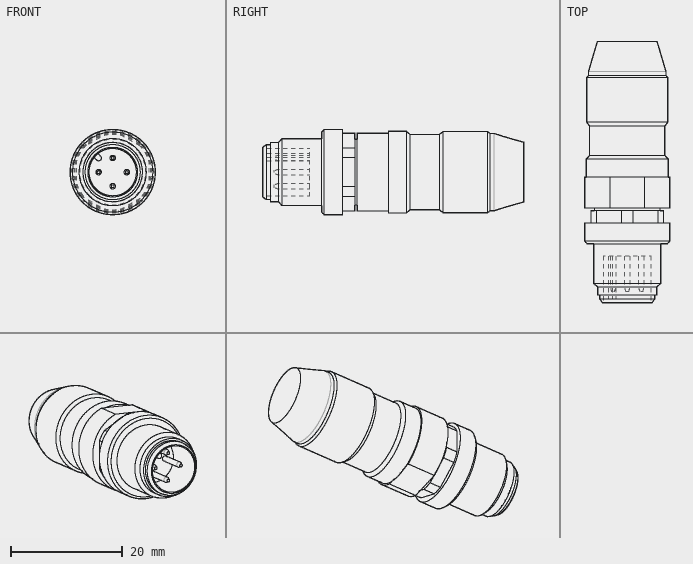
import cadquery as cq
import math

LENGTH = 46.75

TIP_RIM_DIA = 8.9
TIP_DIA = 9.85
STEP_DIA = 10.6
BARREL_DIA = 12.0
TIP_CHAMFER_END = 0.7
TIP_END = 1.4
STEP_END = 2.85
BARREL_START = 3.45

COLLAR_DIA = 15.3
COLLAR_CHAMFER = 0.45
COLLAR_START = 10.55
COLLAR_END = 14.3

NUT_CORNER_DIA = 14.0
NUT_ACROSS_FLATS = 13.0
NUT_END = 16.5
NECK_DIA = 11.8

BODY_START = 16.92
BODY_END = 22.5
BODY_ACROSS_FLATS = 14.0

BAND_DIA = 14.7
BAND_END = 25.7
BAND_CHAMFER_END = 26.35
GRIP_DIA = 13.5
SLEEVE_START = 31.6
SLEEVE_CHAMFER_END = 32.3
SLEEVE_DIA = 14.55
SLEEVE_END = 40.25
CAP_DIA = 13.9
CAP_START = 40.65
CAP_TAPER_START = 41.37
CAP_END_DIA = 10.7

SOCKET_DIA = 8.45
SOCKET_DEPTH = 8.4
PIN_COUNT = 4
PIN_CIRCLE_RADIUS = 2.52
PIN_DIA = 1.0
PIN_TIP_DIA = 0.5
PIN_TIP_RECESS = 2.05
PIN_TAPER_LENGTH = 0.75
KEY_ANGLE = 135.0
KEY_WIDTH = 1.0
KEY_NOSE_RADIUS = 3.55
KEY_RECESS = 0.7


def plane_at(y):
    """Plane across the axis at y, with its normal along +Y and local X along +X."""
    return cq.Plane(origin=(0, y, 0), xDir=(1, 0, 0), normal=(0, 1, 0))


def cylinder(diameter, start, end):
    return cq.Workplane(plane_at(start)).circle(diameter / 2).extrude(end - start)


def turned_shell():
    """Revolved outline, given as (diameter, Y) from the plug face to the cable end."""
    outline = [
        (0, 0),
        (TIP_RIM_DIA, 0),
        (TIP_DIA, TIP_CHAMFER_END),
        (TIP_DIA, TIP_END),
        (STEP_DIA, TIP_END),
        (STEP_DIA, STEP_END),
        (BARREL_DIA, BARREL_START),
        (BARREL_DIA, COLLAR_START),
        (COLLAR_DIA - 2 * COLLAR_CHAMFER, COLLAR_START),
        (COLLAR_DIA, COLLAR_START + COLLAR_CHAMFER),
        (COLLAR_DIA, COLLAR_END),
        (NECK_DIA, COLLAR_END),
        (NECK_DIA, BODY_END),
        (BAND_DIA, BODY_END),
        (BAND_DIA, BAND_END),
        (GRIP_DIA, BAND_CHAMFER_END),
        (GRIP_DIA, SLEEVE_START),
        (SLEEVE_DIA, SLEEVE_CHAMFER_END),
        (SLEEVE_DIA, SLEEVE_END),
        (CAP_DIA, CAP_START),
        (CAP_DIA, CAP_TAPER_START),
        (CAP_END_DIA, LENGTH),
        (0, LENGTH),
    ]
    points = [(diameter / 2, y) for diameter, y in outline]
    return cq.Workplane("XY").polyline(points).close().revolve(360, (0, 0), (0, 1))


def hex_nut():
    """Hexagon with flats facing -X and +X, its corners turned down to a cylinder."""
    corner_to_corner = NUT_ACROSS_FLATS / math.cos(math.radians(30))
    length = NUT_END - COLLAR_END
    hexagon = (
        cq.Workplane(plane_at(COLLAR_END))
        .transformed(rotate=(0, 0, 30))
        .polygon(6, corner_to_corner)
        .extrude(length)
    )
    return hexagon.intersect(cylinder(NUT_CORNER_DIA, COLLAR_END, NUT_END))


def flatted_body():
    """Cylinder with wrench flats on its top and bottom."""
    length = BODY_END - BODY_START
    slab = cq.Workplane(plane_at(BODY_START)).rect(COLLAR_DIA, BODY_ACROSS_FLATS).extrude(length)
    return cylinder(COLLAR_DIA, BODY_START, BODY_END).intersect(slab)


def contact_pin(angle):
    """Pin with a tapered tip, standing on the socket floor."""
    taper_end = PIN_TIP_RECESS + PIN_TAPER_LENGTH
    pin = (
        cq.Workplane("XY")
        .moveTo(0, PIN_TIP_RECESS)
        .lineTo(PIN_TIP_DIA / 2, PIN_TIP_RECESS)
        .lineTo(PIN_DIA / 2, taper_end)
        .lineTo(PIN_DIA / 2, SOCKET_DEPTH)
        .lineTo(0, SOCKET_DEPTH)
        .close()
        .revolve(360, (0, 0), (0, 1))
    )
    return pin.translate((PIN_CIRCLE_RADIUS, 0, 0)).rotate((0, 0, 0), (0, 1, 0), angle)


def polarising_key():
    """Round-nosed rib on the upper -X side of the socket wall."""
    wall_radius = (SOCKET_DIA + TIP_RIM_DIA) / 4
    length = SOCKET_DEPTH - KEY_RECESS
    nose = cq.Workplane(plane_at(KEY_RECESS)).center(KEY_NOSE_RADIUS, 0).circle(KEY_WIDTH / 2).extrude(length)
    root_length = wall_radius - KEY_NOSE_RADIUS
    root = (
        cq.Workplane(plane_at(KEY_RECESS))
        .center(KEY_NOSE_RADIUS + root_length / 2, 0)
        .rect(root_length, KEY_WIDTH)
        .extrude(length)
    )
    return nose.union(root).rotate((0, 0, 0), (0, 1, 0), -KEY_ANGLE)


result = turned_shell().union(hex_nut()).union(flatted_body())
result = result.cut(cylinder(SOCKET_DIA, 0, SOCKET_DEPTH))
for index in range(PIN_COUNT):
    result = result.union(contact_pin(index * 360 / PIN_COUNT))
result = result.union(polarising_key())